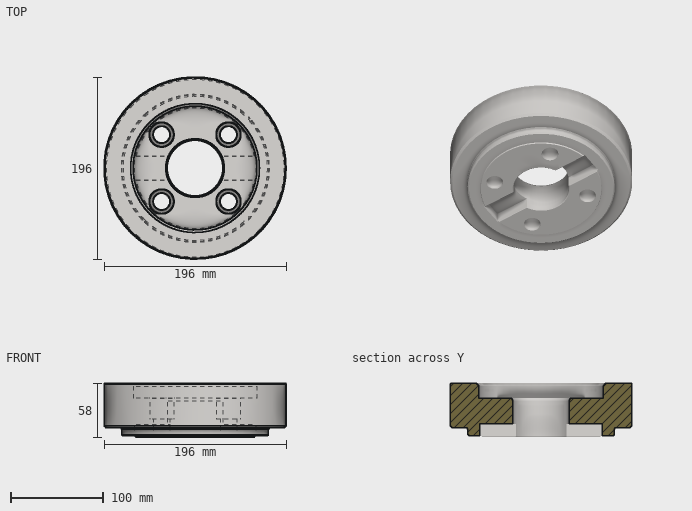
import cadquery as cq

body_radius = 98.0
total_height = 58.0

pad_radius = 65.5
pad_height = 1.2
pad_taper = 0.5
spigot_radius = 79.0
spigot_chamfer = 1.4
collar_radius = 79.8
collar_height = 0.5
collar_bottom = 8.5
body_bottom = 9.8
body_bottom_chamfer = 2.4
body_top_chamfer = 1.0

recess_radius = 66.7
recess_depth = 15.9
recess_bevel_width = 2.7
recess_bevel_height = 3.3
floor_z = total_height - recess_depth

bore_radius = 30.0
bore_bevel_width = 1.5
bore_bevel_height = 3.0
bore_bottom_chamfer = 0.8

bolt_spacing = 72.0
bolt_hole_diameter = 18.0
counterbore_diameter = 25.9
counterbore_depth = 22.5
counterbore_chamfer = 0.5

slot_width = 25.5
slot_depth = 14.0
slot_length = 2 * pad_radius
slot_edge_chamfer = 0.5


def turned_body():
    """Revolve the half section around Z."""
    profile = [
        (bore_radius, bore_bottom_chamfer),
        (bore_radius + bore_bottom_chamfer, 0),
        (pad_radius - pad_taper, 0),
        (pad_radius, pad_height),
        (spigot_radius - spigot_chamfer, pad_height),
        (spigot_radius, pad_height + spigot_chamfer),
        (spigot_radius, collar_bottom),
        (collar_radius, collar_bottom + collar_height),
        (collar_radius, body_bottom),
        (body_radius - body_bottom_chamfer, body_bottom),
        (body_radius, body_bottom + body_bottom_chamfer),
        (body_radius, total_height - body_top_chamfer),
        (body_radius - body_top_chamfer, total_height),
        (recess_radius + recess_bevel_width, total_height),
        (recess_radius, total_height - recess_bevel_height),
        (recess_radius, floor_z),
        (bore_radius + bore_bevel_width, floor_z),
        (bore_radius, floor_z - bore_bevel_height),
    ]
    return cq.Workplane("XZ").polyline(profile).close().revolve(360, (0, 0), (0, 1))


def bolt_hole_cutters():
    """Stepped cutters with a chamfered mouth, one at each corner of a square."""
    hole_radius = bolt_hole_diameter / 2
    counterbore_radius = counterbore_diameter / 2
    profile = [
        (0, 0),
        (hole_radius, 0),
        (hole_radius, floor_z - counterbore_depth),
        (counterbore_radius, floor_z - counterbore_depth),
        (counterbore_radius, floor_z - counterbore_chamfer),
        (counterbore_radius + counterbore_chamfer, floor_z),
        (0, floor_z),
    ]
    cutter = cq.Workplane("XZ").polyline(profile).close().revolve(360, (0, 0), (0, 1)).val()
    corners = cq.Workplane("XY").rect(bolt_spacing, bolt_spacing, forConstruction=True).vertices()
    return corners.eachpoint(lambda location: cutter.moved(location), combine=False)


def slot_cutter():
    """Bar along X whose lower edges flare outward."""
    half_width = slot_width / 2
    flared_half_width = half_width + slot_edge_chamfer
    profile = [
        (-flared_half_width, 0),
        (flared_half_width, 0),
        (half_width, slot_edge_chamfer),
        (half_width, slot_depth),
        (-half_width, slot_depth),
        (-half_width, slot_edge_chamfer),
    ]
    return cq.Workplane("YZ").polyline(profile).close().extrude(slot_length / 2, both=True)


result = turned_body().cut(bolt_hole_cutters()).cut(slot_cutter())